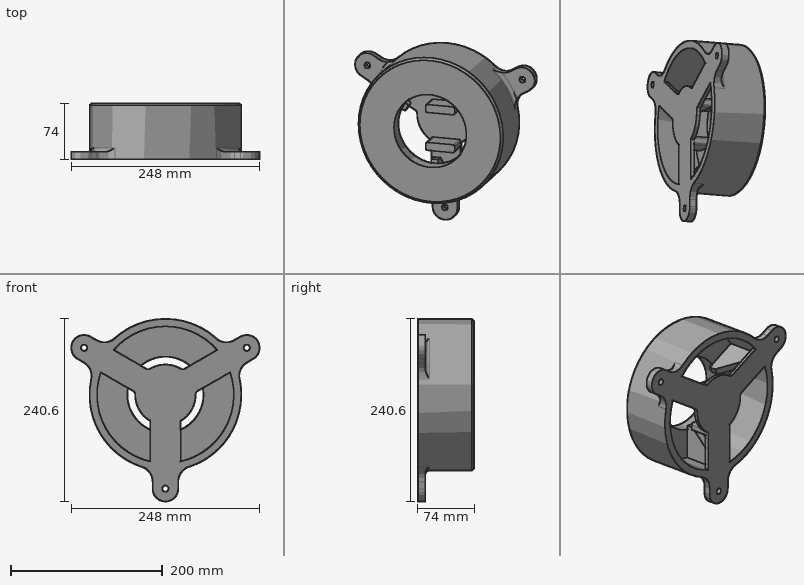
import math

import cadquery as cq

depth = 74.0
outer_radius = 100.0
wall_thickness = 10.0
inner_radius = outer_radius - wall_thickness
back_thickness = 20.0
back_hole_radius = outer_radius / 2
back_chamfer = 3.0
inner_back = depth - back_thickness
overlap = wall_thickness / 4

spoke_turns = [0, 120, 240]
overall_width = 248.0
ear_width = 34.0
ear_radius = ear_width / 2
ear_distance = (overall_width / 2 - ear_radius) / math.cos(math.radians(30))
ear_thickness = 10.0
ear_hole_radius = 4.0
ear_corner_radius = 20.0
ear_fillet = 5.0

guard_thickness = 5.0
hub_radius = 40.0
hub_corner_radius = 5.0
upper_spoke_width = ear_width
lower_spoke_width = hub_radius

rib_width = 10.0
rib_inner_radius = 44.6
rib_toe_radius = 79.9
rib_inner_height = 10.0

hub_bar_width = hub_radius
hub_bar_height = 11.0
hub_bar_back = 30.5
hub_bar_corner_radius = 2.5
hub_bar_bottoms = [-40.7, 11.5]

position_tolerance = 0.02


def disc(radius, thickness):
    """Disc about the Y axis, reaching back from Y = 0."""
    return cq.Workplane("XZ").circle(radius).extrude(-thickness)


def bar(width, bottom, top, thickness):
    """Box centred on X between two heights, reaching back from Y = 0."""
    box = cq.Workplane("XY").box(width, thickness, top - bottom, centered=(True, False, False))
    return box.translate((0, 0, bottom))


def around(shape):
    """The shape repeated at the three spokes."""
    first, second, third = [shape.rotate((0, 0, 0), (0, 1, 0), turn) for turn in spoke_turns]
    return first.union(second).union(third)


def round_corners(shape, distance, radius):
    """Fillet the edges along Y that lie at the given distance from the Y axis."""
    corners = []
    for edge in shape.edges("|Y").vals():
        middle = edge.Center()
        if abs(math.hypot(middle.x, middle.z) - distance) < position_tolerance:
            corners.append(edge)
    return shape.newObject(corners).fillet(radius)


def make_cup():
    cup = disc(outer_radius, depth).faces(">Y").chamfer(back_chamfer)
    return cup.cut(disc(inner_radius, inner_back)).cut(disc(back_hole_radius, depth))


def make_flange(thickness):
    """Rim disc with three ears, blended where the ears leave the rim."""
    ear = disc(ear_radius, thickness).translate((0, 0, -ear_distance))
    ear = ear.union(bar(ear_width, -ear_distance, 0, thickness))
    flange = disc(outer_radius, thickness).union(around(ear))
    return round_corners(flange, outer_radius, ear_corner_radius)


def make_ear_fillet():
    """Concave ring that blends the back of the ears into the cup wall."""
    ring_radius = outer_radius + ear_fillet
    ring_back = ear_thickness + ear_fillet
    groove = cq.Solid.makeTorus(ring_radius, ear_fillet, cq.Vector(0, ring_back, 0), cq.Vector(0, 1, 0))
    ring = disc(ring_radius, ring_back).cut(cq.Workplane(groove))
    return ring.intersect(make_flange(ring_back))


def make_rim():
    """Ears and their fillets, open inside the cup."""
    rim = make_flange(ear_thickness).union(make_ear_fillet())
    ear_hole = disc(ear_hole_radius, ear_thickness).translate((0, 0, -ear_distance))
    return rim.cut(around(ear_hole)).cut(disc(inner_radius, inner_back))


def make_guard():
    """Hub on three spokes; the wider lower spoke leaves its hub corners sharp."""
    spoke_end = -(inner_radius + overlap)
    upper_spoke = bar(upper_spoke_width, spoke_end, 0, guard_thickness)
    lower_spoke = bar(lower_spoke_width, spoke_end, 0, guard_thickness)
    guard = disc(hub_radius, guard_thickness).union(around(upper_spoke))
    return round_corners(guard, hub_radius, hub_corner_radius).union(lower_spoke)


def make_rib():
    """Gusset on the back wall, overhanging its hole and sloping out to the spoke."""
    rib_end = -(inner_radius + overlap)
    profile = (
        cq.Workplane("YZ", origin=(-rib_width / 2, 0, 0))
        .moveTo(inner_back, -rib_inner_radius)
        .lineTo(inner_back - rib_inner_height, -rib_inner_radius)
        .lineTo(guard_thickness, -rib_toe_radius)
        .lineTo(guard_thickness, rib_end)
        .lineTo(inner_back, rib_end)
        .close()
    )
    return profile.extrude(rib_width)


def make_hub_bar(bottom):
    block = bar(hub_bar_width, bottom, bottom + hub_bar_height, hub_bar_back)
    return block.edges("|Y").fillet(hub_bar_corner_radius)


result = make_cup().union(make_rim()).union(make_guard()).union(around(make_rib()))
for bar_bottom in hub_bar_bottoms:
    result = result.union(make_hub_bar(bar_bottom))